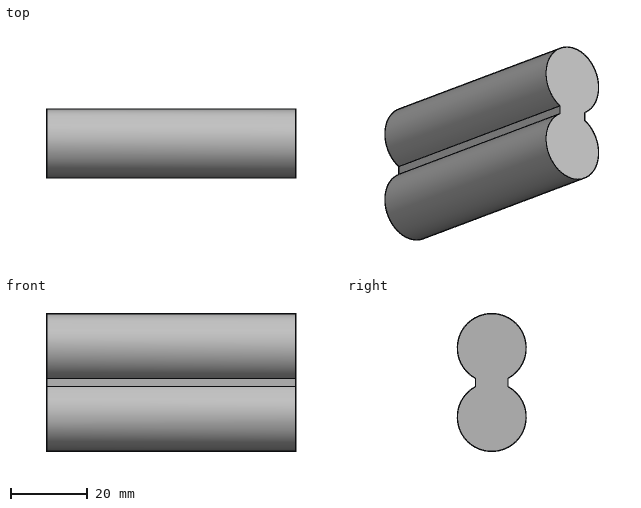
import cadquery as cq
import math

length = 65.0
bar_diameter = 18.0
bar_spacing = 18.0
web_thickness = 8.5

bar_radius = bar_diameter / 2
bar_center_z = bar_spacing / 2
web_half_width = web_thickness / 2

web_half_height = bar_center_z - math.sqrt(bar_radius**2 - web_half_width**2)
bar_top_z = bar_center_z + bar_radius


def figure_eight_profile():
    """Closed YZ outline: two large arcs joined by the two flat web sides."""
    return (
        cq.Workplane("YZ")
        .moveTo(web_half_width, -web_half_height)
        .lineTo(web_half_width, web_half_height)
        .threePointArc((0, bar_top_z), (-web_half_width, web_half_height))
        .lineTo(-web_half_width, -web_half_height)
        .threePointArc((0, -bar_top_z), (web_half_width, -web_half_height))
        .close()
    )


result = figure_eight_profile().extrude(length)